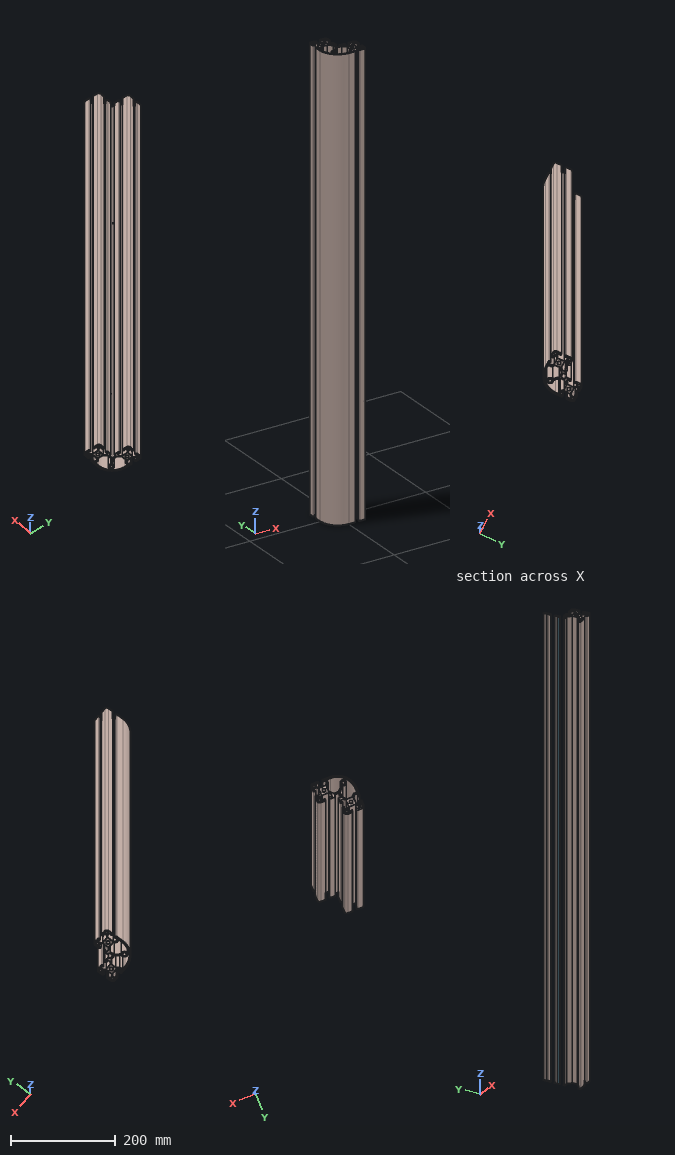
import cadquery as cq
import math

length = 1000.0
size = 80.0
half_size = size / 2
cell = size / 2
cell_half = cell / 2
corner_radius = 5.0
wall = 2.8

mouth_half = 4.3
mouth_radius = 1.0
lip_tip = 4.5
lip_root = 2.5
slot_side = 9.7
slot_half = cell_half - slot_side
slot_corner_radius = 1.0
core_half = 7.7
slot_depth = cell_half - core_half
floor_half = 6.5
slot_wall_depth = slot_depth - (slot_half - floor_half)

bore_radius = 3.4
hollow_size = 5.0
hollow_radius = 1.5

notch_half = 4.5
notch_radius = 1.5

chamber_radius = half_size - wall
chamber_side = 7.0
chamber_roof = cell_half - core_half
roof_half = 5.0
inner_wall = 7.2

rib_width = 3.0
boss_radius = 5.8


def mirror_diagonal(body):
    """Reflect a body across the plane X = Y, from the upper cell to the lower one."""
    return body.mirror(cq.Vector(1, -1, 0), (0, 0, 0))


def body_blank():
    """Solid L with one corner rounded about the centre and its square corners filleted."""
    arc_middle = -half_size * math.sqrt(0.5)
    blank = (
        cq.Workplane("XY")
        .moveTo(-half_size, 0)
        .threePointArc((arc_middle, arc_middle), (0, -half_size))
        .lineTo(half_size, -half_size)
        .lineTo(half_size, 0)
        .lineTo(0, 0)
        .lineTo(0, half_size)
        .lineTo(-half_size, half_size)
        .close()
        .extrude(length)
    )
    for x, y in [(-1, 1), (0, 1), (1, 0), (1, -1)]:
        corner = cq.selectors.NearestToPointSelector((x * half_size, y * half_size, length / 2))
        blank = blank.edges("|Z").edges(corner).fillet(corner_radius)
    return blank


def t_slot(angle):
    """T-slot of the upper cell; angle 0 opens upward, others turn about the cell centre."""
    face = cell_half
    rounded_mouth = mouth_half + mouth_radius
    slot = (
        cq.Workplane("XY")
        .moveTo(-rounded_mouth, face)
        .lineTo(rounded_mouth, face)
        .radiusArc((mouth_half, face - mouth_radius), -mouth_radius)
        .lineTo(mouth_half, face - lip_tip)
        .lineTo(slot_half, face - lip_root)
        .lineTo(slot_half, face - slot_wall_depth)
        .lineTo(floor_half, core_half)
        .lineTo(-floor_half, core_half)
        .lineTo(-slot_half, face - slot_wall_depth)
        .lineTo(-slot_half, face - lip_root)
        .lineTo(-mouth_half, face - lip_tip)
        .lineTo(-mouth_half, face - mouth_radius)
        .radiusArc((-rounded_mouth, face), -mouth_radius)
        .close()
        .extrude(length)
    )
    slot = slot.edges("|Z").edges("<X or >X").fillet(slot_corner_radius)
    return slot.rotate((0, 0, 0), (0, 0, 1), angle).translate((-cell_half, cell_half, 0))


def rounded_square(x, y, side, radius):
    block = cq.Workplane("XY").center(x, y).rect(side, side).extrude(length)
    return block.edges("|Z").fillet(radius)


def corner_hollow(side):
    """Hollow in an upper corner of the upper cell; side is -1 for left, +1 for right."""
    offset = cell_half - wall - hollow_size / 2
    return rounded_square(-cell_half + side * offset, cell_half + offset, hollow_size, hollow_radius)


def cylinder(x, y, radius):
    return cq.Workplane("XY").center(x, y).circle(radius).extrude(length)


def chamber():
    """Large hollow between the upper cell's core, the curved wall and the diagonal."""
    outer = -chamber_radius
    diagonal = outer * math.sqrt(0.5)
    arc_middle = (outer * math.cos(math.pi / 8), outer * math.sin(math.pi / 8))
    roof_left = -cell_half - roof_half
    roof_right = -cell_half + roof_half
    left_foot = roof_left - (chamber_roof - chamber_side)
    right_foot_height = chamber_roof - (-inner_wall - roof_right)
    return (
        cq.Workplane("XY")
        .moveTo(outer, 0)
        .lineTo(outer, chamber_side)
        .lineTo(left_foot, chamber_side)
        .lineTo(roof_left, chamber_roof)
        .lineTo(roof_right, chamber_roof)
        .lineTo(-inner_wall, right_foot_height)
        .lineTo(-inner_wall, -inner_wall)
        .lineTo(diagonal, diagonal)
        .threePointArc(arc_middle, (outer, 0))
        .close()
        .extrude(length)
    )


def diagonal_rib():
    """Rib from the notch wall to the middle of the curved wall."""
    start = inner_wall
    end = half_size - wall / 2
    rib = cq.Workplane("XY").center(-(start + end) / 2, 0).rect(end - start, rib_width).extrude(length)
    return rib.rotate((0, 0, 0), (0, 0, 1), 45)


profile = body_blank()

cell_cuts = [t_slot(angle) for angle in (0, 90, -90)]
cell_cuts += [corner_hollow(-1), corner_hollow(1)]
cell_cuts += [cylinder(-cell_half, cell_half, bore_radius), chamber()]
for cut in cell_cuts:
    profile = profile.cut(cut).cut(mirror_diagonal(cut))

profile = profile.cut(rounded_square(0, 0, 2 * notch_half, notch_radius))

profile = profile.union(diagonal_rib())
profile = profile.union(cylinder(-cell_half, -cell_half, boss_radius))
result = profile.cut(cylinder(-cell_half, -cell_half, bore_radius))